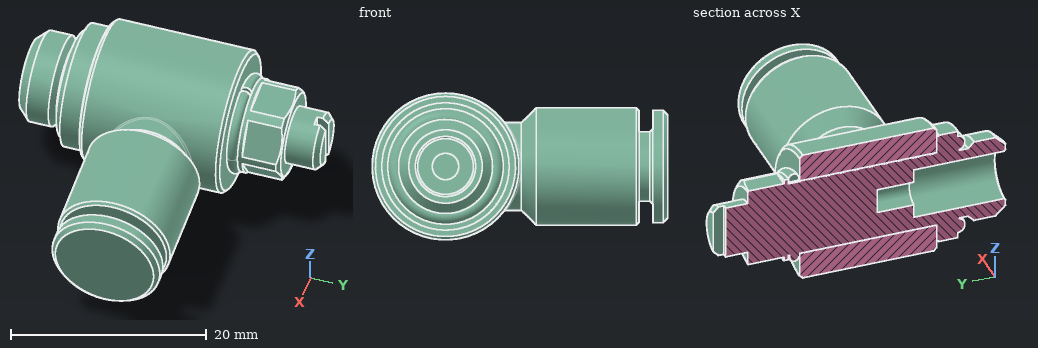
import cadquery as cq


Y_AXIS = cq.Vector(0, 1, 0)

SLEEVE_RADIUS = 15.0 / 2
SLEEVE_LENGTH = 15.0
SLEEVE_CHAMFER = 0.35
SLEEVE_END = SLEEVE_LENGTH / 2

NECK_RADIUS = 9.0 / 2
NECK_FILLET = 0.2
NECK_END = 7.75
PORT_RADIUS = 12.0 / 2
PORT_END = 19.75
PORT_CHAMFER = 0.3
STEM_RADIUS = 7.1 / 2
RING_RADIUS = 11.5 / 2
RING_START = 21.15
RING_END = 22.7
RING_CHAMFER = 0.5
STEM_FLARE = 0.3

SHANK_RADIUS = 8.75 / 2
HEAD_RADIUS = 9.85 / 2
HEAD_START = 8.7
HEX_START = 9.2
HEX_END = 13.15
HEX_ACROSS_FLATS = 9.0
HEAD_TOP_RADIUS = SHANK_RADIUS
HEAD_CHAMFER_HEIGHT = 0.35

SPLIT_RING_RADIUS = 10.5 / 2
SPLIT_RING_ROUND = 1.1 / 2
SPLIT_RING_GAP = 0.5

SCREW_RADIUS = 6.0 / 2
SCREW_END = 16.75
SCREW_CHAMFER = 0.6
SLOT_WIDTH = 1.0
SLOT_DEPTH = 1.2

SPIGOT_RADIUS = 12.8 / 2
COLLAR_RADIUS = 13.0 / 2
COLLAR_START = -7.7
COLLAR_END = -9.8
SEAL_RADIUS = 11.8 / 2
SEAL_DEPTH = 0.8
UNDERCUT_RADIUS = 8.3 / 2
UNDERCUT_END = -10.9
THREAD_RADIUS = 9.6 / 2
BOLT_END = -15.0
TIP_RADIUS = 7.5 / 2
TIP_CHAMFER_LENGTH = 1.1

MOUTH_RADIUS = 6.15 / 2
MOUTH_DEPTH = 0.13
BORE_RADIUS = 5.7 / 2
BORE_DEPTH = 10.0
PASSAGE_RADIUS = 2.7 / 2
PASSAGE_DEPTH = 4.0


def y_cylinder(radius, start, end):
    """Cylinder on the Y axis, from a lower to a higher Y position."""
    base = cq.Vector(0, start, 0)
    return cq.Workplane(cq.Solid.makeCylinder(radius, end - start, base, Y_AXIS))


def sleeve_with_neck():
    """Chamfered sleeve with the port neck blended into its side."""
    sleeve = y_cylinder(SLEEVE_RADIUS, -SLEEVE_END, SLEEVE_END).edges("%CIRCLE").chamfer(SLEEVE_CHAMFER)
    neck = cq.Workplane("YZ").circle(NECK_RADIUS).extrude(NECK_END)
    joint = "not(%CIRCLE or %LINE)"
    return sleeve.union(neck).edges(joint).fillet(NECK_FILLET)


def tube_port():
    """Port barrel, stem and release ring, turned about the X axis."""
    shoulder = PORT_RADIUS - NECK_RADIUS
    profile = [
        (NECK_END, 0),
        (NECK_END, NECK_RADIUS),
        (NECK_END + shoulder, PORT_RADIUS),
        (PORT_END - PORT_CHAMFER, PORT_RADIUS),
        (PORT_END, PORT_RADIUS - PORT_CHAMFER),
        (PORT_END, STEM_RADIUS),
        (RING_START - STEM_FLARE, STEM_RADIUS),
        (RING_START, STEM_RADIUS + STEM_FLARE),
        (RING_START, RING_RADIUS),
        (RING_END - RING_CHAMFER, RING_RADIUS),
        (RING_END, RING_RADIUS - RING_CHAMFER),
        (RING_END, 0),
    ]
    return cq.Workplane("XY").polyline(profile).close().revolve(360, (0, 0, 0), (1, 0, 0))


def build_housing():
    """Sleeve and tube port, bored for the bolt shank."""
    bolt_hole = y_cylinder(SHANK_RADIUS, -SLEEVE_END, SLEEVE_END)
    return sleeve_with_neck().union(tube_port()).cut(bolt_hole)


def bolt_lower_end():
    """Shank, collar, rounded seal and threaded end, turned about the Y axis."""
    tip_cone_start = BOLT_END + TIP_CHAMFER_LENGTH
    seal_crest = ((SEAL_RADIUS + UNDERCUT_RADIUS) / 2, COLLAR_END - SEAL_DEPTH)
    profile = (
        cq.Workplane("XY")
        .moveTo(0, HEAD_START)
        .lineTo(SHANK_RADIUS, HEAD_START)
        .lineTo(SHANK_RADIUS, -SLEEVE_END)
        .lineTo(SPIGOT_RADIUS, -SLEEVE_END)
        .lineTo(SPIGOT_RADIUS, COLLAR_START)
        .lineTo(COLLAR_RADIUS, COLLAR_START)
        .lineTo(COLLAR_RADIUS, COLLAR_END)
        .lineTo(SEAL_RADIUS, COLLAR_END)
        .threePointArc(seal_crest, (UNDERCUT_RADIUS, COLLAR_END))
        .lineTo(UNDERCUT_RADIUS, UNDERCUT_END)
        .lineTo(THREAD_RADIUS, UNDERCUT_END - (THREAD_RADIUS - UNDERCUT_RADIUS))
        .lineTo(THREAD_RADIUS, tip_cone_start)
        .lineTo(TIP_RADIUS, BOLT_END)
        .lineTo(0, BOLT_END)
        .close()
    )
    return profile.revolve(360, (0, 0, 0), (0, 1, 0))


def hex_head():
    """Round head with a chamfered top and six flats, two of them facing +Z and -Z."""
    blank = y_cylinder(HEAD_RADIUS, HEAD_START, HEX_END)
    blank = blank.faces(">Y").chamfer(HEAD_CHAMFER_HEIGHT, HEAD_RADIUS - HEAD_TOP_RADIUS)
    flat_height = HEX_END - HEX_START
    for side in range(6):
        cutter = cq.Workplane("XY").box(2 * HEAD_RADIUS, flat_height, HEAD_RADIUS, (True, False, False))
        cutter = cutter.translate((0, HEX_START, HEX_ACROSS_FLATS / 2))
        blank = blank.cut(cutter.rotate((0, 0, 0), (0, 1, 0), side * 60))
    return blank


def split_ring():
    """Ring with a half-round rim between head and sleeve, with a gap at the +Z side."""
    round_start = SPLIT_RING_RADIUS - SPLIT_RING_ROUND
    rim = (SPLIT_RING_RADIUS, SLEEVE_END + SPLIT_RING_ROUND)
    ring_top = SLEEVE_END + 2 * SPLIT_RING_ROUND
    section = (
        cq.Workplane("XY")
        .moveTo(SHANK_RADIUS, SLEEVE_END)
        .lineTo(round_start, SLEEVE_END)
        .threePointArc(rim, (round_start, ring_top))
        .lineTo(SHANK_RADIUS, ring_top)
        .close()
    )
    ring = section.revolve(360, (0, 0, 0), (0, 1, 0))
    gap = cq.Workplane("XY").box(SPLIT_RING_GAP, ring_top, SPLIT_RING_RADIUS, (True, False, False))
    return ring.cut(gap)


def adjusting_screw():
    """Screw end above the head, with a driver slot along Z."""
    screw = y_cylinder(SCREW_RADIUS, HEX_START, SCREW_END).faces(">Y").chamfer(SCREW_CHAMFER)
    slot = cq.Workplane("XY").box(SLOT_WIDTH, 2 * SLOT_DEPTH, 2 * SCREW_RADIUS)
    return screw.cut(slot.translate((0, SCREW_END, 0)))


def bolt_bore():
    """Main bore with a bevelled mouth, and a narrow passage beyond its floor."""
    bore_floor = BOLT_END + BORE_DEPTH
    bore = y_cylinder(BORE_RADIUS, BOLT_END, bore_floor)
    mouth = cq.Vector(0, BOLT_END, 0)
    mouth_bevel = cq.Solid.makeCone(MOUTH_RADIUS, BORE_RADIUS, MOUTH_DEPTH, mouth, Y_AXIS)
    passage = y_cylinder(PASSAGE_RADIUS, bore_floor, bore_floor + PASSAGE_DEPTH)
    return bore.union(cq.Workplane(mouth_bevel)).union(passage)


def build_bolt():
    """Hollow bolt with head, split ring and adjusting screw."""
    bolt = bolt_lower_end().union(hex_head()).union(split_ring()).union(adjusting_screw())
    return bolt.cut(bolt_bore())


housing = build_housing()
bolt = build_bolt()

result = cq.Compound.makeCompound([housing.solids().val(), bolt.solids().val()])